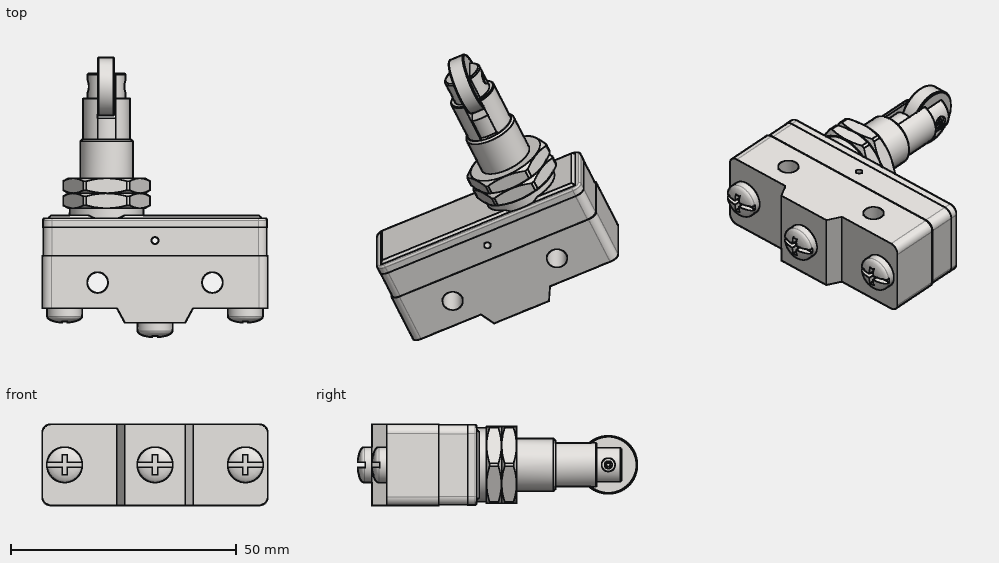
import cadquery as cq
import math


overall_length = 61.95

base_length = 50.0
base_thickness = 18.0
base_top = 11.6
cover_length = 49.55
cover_thickness = 17.8
cover_top = 17.95
cap_length = 49.6
cap_thickness = 17.85
cap_top = 19.95
corner_radius = 2.0
cap_edge_radius = 0.45
lip_height = 0.6
lip_taper = 45.0
lip_inset_x = 1.2
lip_inset_z = 1.1
hump_height = 3.2
hump_root_width = 16.85
hump_face_width = 13.4

mount_hole_diameter = 4.5
mount_hole_spacing = 25.4
mount_hole_y = 5.7
vent_diameter = 1.5
vent_y = 15.0

screw_spacing = 20.0
screw_diameter = 7.85
screw_height = 3.2
slot_width = 1.1
slot_depth = 1.75
cross_length = 4.4
dome_rise = 1.5

apex_loss = dome_rise * (1 - math.sqrt(1 - 2 * (slot_width / screw_diameter) ** 2))

plunger_x = -10.7
collar_diameter = 16.4
collar_top = 22.1
nut_thickness = 3.35
nut_flats = 17.05
nut_corner_diameter = 19.25
nut_face_diameter = 16.9
nut_chamfer_angle = 30.0
nut_count = 2
barrel_diameter = 11.7
barrel_top = 37.4
barrel_chamfer = 0.5
fork_diameter = 10.5
fork_top = 46.5
fork_chamfer = 0.2
tip_diameter = 8.5
tip_top = 52.05
tip_chamfer = 0.3
fork_slot_width = 3.95
tongue_diameter = 8.5
tongue_top = 42.05

roller_diameter = 12.9
roller_width = 3.7
roller_chamfer = 0.25
roller_top = overall_length - hump_height - screw_height + apex_loss
axle_diameter = 3.0
axle_recess = 0.6
axle_centre_diameter = 1.7
axle_centre_floor_diameter = 0.85
axle_centre_depth = 0.2
roller_y = roller_top - roller_diameter / 2


def y_cylinder(x, diameter, start, end):
    """Cylinder along Y between two Y positions, on the axis Z = 0."""
    return cq.Workplane("XZ", origin=(x, start, 0)).circle(diameter / 2).extrude(start - end)


def y_block(length, thickness, start, end):
    """Block along Y with its four long edges rounded."""
    block = cq.Workplane("XZ", origin=(0, start, 0)).rect(length, thickness).extrude(start - end)
    return block.edges("|Y").fillet(corner_radius)


def z_hole(x, y, diameter):
    """Cutter that passes through the whole housing along Z."""
    return cq.Workplane("XY", origin=(x, y, 0)).circle(diameter / 2).extrude(base_thickness, both=True)


def housing():
    base = y_block(base_length, base_thickness, 0, base_top)
    cover = y_block(cover_length, cover_thickness, base_top, cover_top)
    cap = y_block(cap_length, cap_thickness, cover_top, cap_top)
    cap = cap.faces(">Y").edges().fillet(cap_edge_radius)
    lip = (
        cq.Workplane("XZ", origin=(0, cap_top, 0))
        .rect(cap_length - 2 * lip_inset_x, cap_thickness - 2 * lip_inset_z)
        .extrude(-lip_height, taper=lip_taper)
    )
    hump = (
        cq.Workplane("XY")
        .moveTo(-hump_root_width / 2, 0)
        .lineTo(-hump_face_width / 2, -hump_height)
        .lineTo(hump_face_width / 2, -hump_height)
        .lineTo(hump_root_width / 2, 0)
        .close()
        .extrude(base_thickness / 2, both=True)
    )
    body = base.union(cover).union(cap).union(lip).union(hump)
    for side in (-1, 1):
        body = body.cut(z_hole(side * mount_hole_spacing / 2, mount_hole_y, mount_hole_diameter))
    return body.cut(z_hole(0, vent_y, vent_diameter))


def screw_head(x, seat_y):
    """Domed head that rises toward -Y from its seat, with a slot and a short cross cut."""
    rim_radius = screw_diameter / 2
    head = (
        cq.Workplane("XY")
        .moveTo(0, -screw_height)
        .ellipseArc(rim_radius, dome_rise, 270, 360)
        .lineTo(rim_radius, 0)
        .lineTo(0, 0)
        .close()
        .revolve(360, (0, 0, 0), (0, 1, 0))
    )
    slot_y = -screw_height + slot_depth / 2
    slot = cq.Workplane("XY").box(screw_diameter, slot_depth, slot_width)
    cross = cq.Workplane("XY").box(slot_width, slot_depth, cross_length)
    head = head.cut(slot.union(cross).translate((0, slot_y, 0)))
    return head.translate((x, seat_y, 0))


def nut(start):
    """Hexagonal nut with rounded-off corners and conical chamfers at both ends."""
    flat_to_corner = 1 / math.cos(math.pi / 6)
    hexagon = (
        cq.Workplane("XZ", origin=(plunger_x, start, 0))
        .polygon(6, nut_flats * flat_to_corner)
        .extrude(-nut_thickness)
    )
    radial = (nut_corner_diameter - nut_face_diameter) / 2
    axial = radial * math.tan(math.radians(nut_chamfer_angle))
    outer = nut_corner_diameter / 2
    face = nut_face_diameter / 2
    envelope = (
        cq.Workplane("XY")
        .polyline([
            (0, 0), (face, 0), (outer, axial),
            (outer, nut_thickness - axial), (face, nut_thickness), (0, nut_thickness),
        ])
        .close()
        .revolve(360, (0, 0, 0), (0, 1, 0))
        .translate((plunger_x, start, 0))
    )
    return hexagon.intersect(envelope)


def plunger():
    collar = y_cylinder(plunger_x, collar_diameter, cap_top, collar_top)
    barrel = y_cylinder(plunger_x, barrel_diameter, collar_top, barrel_top)
    barrel = barrel.faces(">Y").chamfer(barrel_chamfer)
    fork = y_cylinder(plunger_x, fork_diameter, barrel_top, fork_top).faces(">Y").chamfer(fork_chamfer)
    tip = y_cylinder(plunger_x, tip_diameter, fork_top, tip_top).faces(">Y").chamfer(tip_chamfer)
    slot_length = tip_top - barrel_top
    fork_slot = cq.Workplane("XY").box(fork_slot_width, slot_length, fork_diameter)
    fork_slot = fork_slot.translate((plunger_x, barrel_top + slot_length / 2, 0))
    fork = fork.union(tip).cut(fork_slot)
    tongue = y_cylinder(plunger_x, tongue_diameter, barrel_top, tongue_top)
    body = collar.union(barrel).union(fork).union(tongue)
    for index in range(nut_count):
        body = body.union(nut(collar_top + index * nut_thickness))
    return body


def roller():
    """Roller resting against the -X cheek of the fork."""
    start = plunger_x - fork_slot_width / 2
    return (
        cq.Workplane("YZ", origin=(start, roller_y, 0))
        .circle(roller_diameter / 2)
        .extrude(roller_width)
        .edges()
        .chamfer(roller_chamfer)
    )


def axle():
    half = tip_diameter / 2 - axle_recess
    return (
        cq.Workplane("YZ", origin=(plunger_x, roller_y, 0))
        .circle(axle_diameter / 2)
        .extrude(half, both=True)
    )


def axle_recesses():
    """Cutters for the sunk axle ends and the conical centre mark in each of them."""
    floor = tip_diameter / 2 - axle_recess
    cutters = cq.Workplane("XY")
    profile = [
        (floor - axle_centre_depth, 0), (floor - axle_centre_depth, axle_centre_floor_diameter / 2),
        (floor, axle_centre_diameter / 2), (floor, axle_diameter / 2),
        (tip_diameter / 2, axle_diameter / 2), (tip_diameter / 2, 0),
    ]
    for side in (-1, 1):
        points = [(side * x, y) for x, y in profile]
        cutter = cq.Workplane("XY").polyline(points).close().revolve(360, (0, 0, 0), (1, 0, 0))
        cutters = cutters.union(cutter)
    return cutters.translate((plunger_x, roller_y, 0))


result = housing().union(plunger()).union(roller()).union(axle()).cut(axle_recesses())
for position in (-1, 0, 1):
    seat = -hump_height if position == 0 else 0
    result = result.union(screw_head(position * screw_spacing, seat))